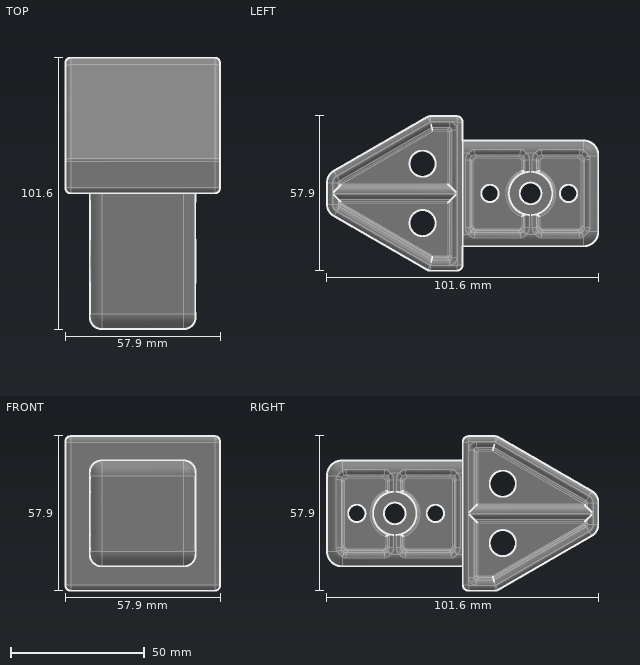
import cadquery as cq
import math

WEB_THICKNESS = 5.08
FLOOR_FILLET = 0.6
HALF_WEB = WEB_THICKNESS / 2

HEAD_SIZE = 57.91
HEAD_LENGTH = 50.8
HEAD_FLAT_LENGTH = 12.7
SLOPE_ANGLE = 30.0
HEAD_CORNER_RADIUS = 2.29
HEAD_NOSE_RADIUS = 5.08
HEAD_EDGE_RADIUS = 2.03
HEAD_WALL = 4.1
HEAD_RIM_RADIUS = 2.0
HEAD_DRAFT_ANGLE = 2.0
HEAD_POCKET_CORNER = 0.9
HEAD_HOLE_DIAMETER = 9.7
HEAD_HOLE_Y = 15.0
HEAD_HOLE_Z = 11.1

PLUG_SIZE = 39.7
PLUG_LENGTH = 50.8
PLUG_OVERLAP = 2.0
PLUG_NOSE_RADIUS = 5.7
PLUG_EDGE_RADIUS = 4.6
PLUG_WALL = 5.25
PLUG_SHOULDER_WALL = 2.5
PLUG_RIM_RADIUS = 1.6
PLUG_DRAFT_ANGLE = 2.5
PLUG_POCKET_CORNER = 1.9
RIB_THICKNESS = 4.1
PLUG_HOLE_DIAMETER = 6.4
PLUG_HOLE_YS = (-10.2, -39.6)

TUBE_Y = -PLUG_LENGTH / 2
TUBE_END_RADIUS = 8.1
TUBE_BORE_DIAMETER = 8.0
TUBE_DRAFT_ANGLE = 2.0

HALF_HEAD = HEAD_SIZE / 2
HALF_PLUG = PLUG_SIZE / 2
SLOPE = math.tan(math.radians(SLOPE_ANGLE))
NOSE_HALF_HEIGHT = HALF_HEAD - (HEAD_LENGTH - HEAD_FLAT_LENGTH) * SLOPE


def pocket_tool(outline, half_width, draft_angle):
    """Drafted pocket from the -X side down to the web; outline is a list of (Y, Z)."""
    depth = half_width - HALF_WEB
    return (
        cq.Workplane("YZ", origin=(-half_width, 0, 0))
        .polyline(outline)
        .close()
        .extrude(depth, taper=draft_angle)
    )


def both_sides(tool):
    """The tool together with its mirror image on the +X side."""
    return tool.union(tool.mirror("YZ"))


def round_rims(body, radius):
    """Round the inner edges of the pocket mouths on both open sides."""
    for selector in ("<X", ">X"):
        mouths = body.faces(selector).vals()
        edges = [e for face in mouths for wire in face.innerWires() for e in wire.Edges()]
        body = body.newObject(edges).fillet(radius)
    return body


def make_head():
    outline = [
        (0, -HALF_HEAD),
        (HEAD_FLAT_LENGTH, -HALF_HEAD),
        (HEAD_LENGTH, -NOSE_HALF_HEIGHT),
        (HEAD_LENGTH, NOSE_HALF_HEIGHT),
        (HEAD_FLAT_LENGTH, HALF_HEAD),
        (0, HALF_HEAD),
    ]
    body = cq.Workplane("YZ").polyline(outline).close().extrude(HALF_HEAD, both=True)
    body = body.edges("|X and >Y").fillet(HEAD_NOSE_RADIUS)
    body = body.edges("|X and (>Z or <Z)").fillet(HEAD_CORNER_RADIUS)
    body = body.faces("<X or >X").edges().fillet(HEAD_EDGE_RADIUS)

    half_divider = HEAD_WALL / 2
    rear = HEAD_LENGTH - HEAD_WALL
    top = HALF_HEAD - HEAD_WALL
    slope_drop = HEAD_WALL / math.cos(math.radians(SLOPE_ANGLE))
    slope_rear_z = NOSE_HALF_HEIGHT + HEAD_WALL * SLOPE - slope_drop
    slope_top_y = HEAD_FLAT_LENGTH + (HEAD_WALL - slope_drop) / SLOPE
    pocket = pocket_tool(
        [
            (HEAD_WALL, half_divider),
            (rear, half_divider),
            (rear, slope_rear_z),
            (slope_top_y, top),
            (HEAD_WALL, top),
        ],
        HALF_HEAD,
        HEAD_DRAFT_ANGLE,
    )
    pocket = pocket.edges("not (<X or >X)").edges(">Z").edges("<Y").fillet(HEAD_POCKET_CORNER)
    pocket = pocket.edges("not (<X or >X)").edges(">Y").edges(">Z").fillet(HEAD_NOSE_RADIUS - HEAD_WALL)
    pocket = pocket.faces(">X").edges().fillet(FLOOR_FILLET)
    pocket = both_sides(pocket)
    body = body.cut(pocket).cut(pocket.mirror("XY"))
    return round_rims(body, HEAD_RIM_RADIUS)


def make_plug():
    body = cq.Workplane("XY").box(PLUG_SIZE, PLUG_LENGTH + PLUG_OVERLAP, PLUG_SIZE)
    body = body.translate((0, (PLUG_OVERLAP - PLUG_LENGTH) / 2, 0))
    body = body.edges("|X and <Y").fillet(PLUG_NOSE_RADIUS)
    body = body.faces("<X or >X").edges("not >Y").fillet(PLUG_EDGE_RADIUS)

    pocket_z = HALF_PLUG - PLUG_WALL
    pocket_spans = (
        (-PLUG_LENGTH + PLUG_WALL, TUBE_Y - RIB_THICKNESS / 2),
        (TUBE_Y + RIB_THICKNESS / 2, -PLUG_SHOULDER_WALL),
    )
    for front, back in pocket_spans:
        outline = [(front, -pocket_z), (back, -pocket_z), (back, pocket_z), (front, pocket_z)]
        pocket = pocket_tool(outline, HALF_PLUG, PLUG_DRAFT_ANGLE)
        pocket = pocket.edges("not (<X or >X)").fillet(PLUG_POCKET_CORNER)
        pocket = pocket.faces(">X").edges().fillet(FLOOR_FILLET)
        body = body.cut(both_sides(pocket))
    return round_rims(body, PLUG_RIM_RADIUS)


def make_tube():
    """Drafted tube across the plug with a flared foot on each side of the web."""
    depth = HALF_PLUG - HALF_WEB
    draft = math.tan(math.radians(TUBE_DRAFT_ANGLE))
    foot_radius = TUBE_END_RADIUS + (depth - FLOOR_FILLET) * draft
    arc_inset = FLOOR_FILLET * (1 - math.sqrt(0.5))
    flare_x = HALF_WEB + arc_inset
    flare_radius = foot_radius + arc_inset
    half = (
        cq.Workplane("XY")
        .moveTo(0, 0)
        .lineTo(-HALF_PLUG, 0)
        .lineTo(-HALF_PLUG, TUBE_END_RADIUS)
        .lineTo(-HALF_WEB - FLOOR_FILLET, foot_radius)
        .threePointArc((-flare_x, flare_radius), (-HALF_WEB, foot_radius + FLOOR_FILLET))
        .lineTo(0, foot_radius + FLOOR_FILLET)
        .close()
        .revolve(360, (0, 0, 0), (1, 0, 0))
    )
    return both_sides(half).translate((0, TUBE_Y, 0))


def cross_holes(diameter, centers):
    """Round holes along X through the whole part; centers are (Y, Z)."""
    return cq.Workplane("YZ").pushPoints(centers).circle(diameter / 2).extrude(HALF_HEAD, both=True)


result = make_head().union(make_plug()).union(make_tube())
result = result.cut(cross_holes(TUBE_BORE_DIAMETER, [(TUBE_Y, 0)]))
result = result.cut(cross_holes(PLUG_HOLE_DIAMETER, [(y, 0) for y in PLUG_HOLE_YS]))
head_holes = [(HEAD_HOLE_Y, HEAD_HOLE_Z), (HEAD_HOLE_Y, -HEAD_HOLE_Z)]
result = result.cut(cross_holes(HEAD_HOLE_DIAMETER, head_holes))